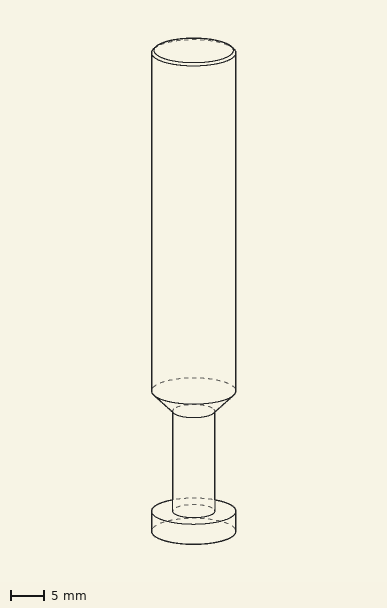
import cadquery as cq

total_length = 76.2
body_diameter = 12.7
neck_diameter = body_diameter / 2
flange_thickness = 3.2
neck_length = 15.85
top_chamfer = 0.4

body_radius = body_diameter / 2
neck_radius = neck_diameter / 2

shoulder_height = body_radius - neck_radius
shoulder_bottom = flange_thickness + neck_length
shoulder_top = shoulder_bottom + shoulder_height

half_section = (
    cq.Workplane("XZ")
    .moveTo(0, 0)
    .lineTo(body_radius, 0)
    .lineTo(body_radius, flange_thickness)
    .lineTo(neck_radius, flange_thickness)
    .lineTo(neck_radius, shoulder_bottom)
    .lineTo(body_radius, shoulder_top)
    .lineTo(body_radius, total_length - top_chamfer)
    .lineTo(body_radius - top_chamfer, total_length)
    .lineTo(0, total_length)
    .close()
)

result = half_section.revolve(360, (0, 0, 0), (0, 1, 0))